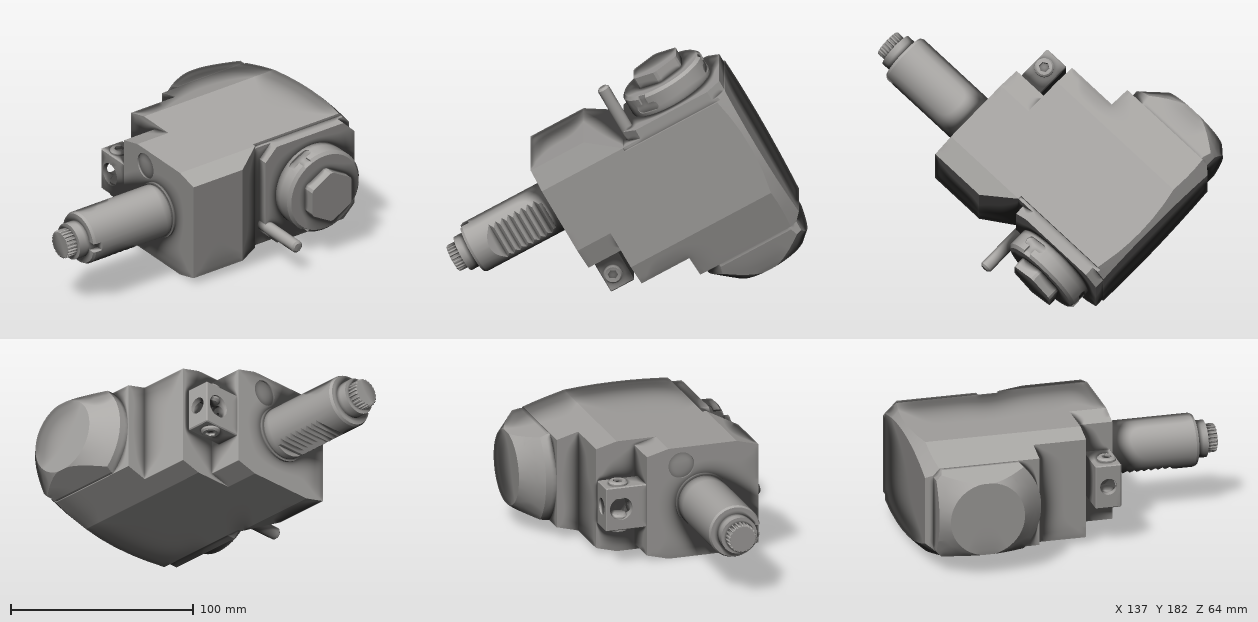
import cadquery as cq
import math


half_height = 32.0
back_y = 115.0
foot_y = 21.0
shoulder_y = 51.0
foot_half_width = 32.4
foot_flat_half_width = 19.8
left_flat_x = -42.5
waist_left_x = -54.6
head_left_x = -67.0
head_right_x = 19.5
head_step_x = 17.7
head_step_depth = 1.8
taper = math.tan(math.radians(15))
slant_start_y = 33.3
back_arc_radius = 132.9
back_arc_x = -12.4
back_arc_crest_z = 29.5
back_left_chamfer = 3.6
dowel_x, dowel_z, dowel_radius, dowel_depth = -12.4, 21.7, 7.5, 1.1

spindle_y = 85.0

cap_left_x = -84.5
cap_rim_x = -73.0
cap_land_x = -68.6
cap_radius = 33.5
cap_face_radius = 21.1
cap_back_y = 111.2
cap_land_half_height = 25.1

plate_right_x = 25.1
plate_half_width = half_height - head_step_depth
plate_corner = 7.6
plate_y = 84.5
flange_right_x = 38.0
flange_radius = 24.4
flange_chamfer = 1.6
flange_neck_radius, flange_neck_length = 23.3, 0.7
slot_x, slot_width, slot_length, slot_depth = 30.2, 5.1, 14.7, 1.5
slot_neck_width = 5.0
slot_count = 3
first_slot_angle = -28
nut_right_x = 44.8
nut_across_flats = 26.8
nut_corner_radius = 15.0
pin_right_x = 52.5
pin_y, pin_z, pin_radius, pin_chamfer = 56.5, -19.0, 3.5, 1.1

collar_radius, collar_length = 15.8, 1.3
relief_radius, relief_length = 14.5, 1.0
shank_radius, shank_end_y = 15.0, -54.6
shank_chamfer_length, shank_chamfer_depth = 1.55, 0.7
journal_radius, journal_end_y = 10.4, -61.0
spline_radius, spline_root_radius, spline_end_y = 8.0, 7.1, -67.0
spline_teeth = 22
spline_tip_share, spline_base_share = 0.3, 0.6
spline_chamfer = 0.5
key_width, key_depth = 5.1, 5.5
rack_start_y, rack_end_y = -6.2, -43.9
rack_wall_lean = 0.5
rack_crest_z, rack_root_z = -12.4, -10.4
rack_pitch, rack_teeth, rack_first_root_y = 4.0, 8, -10.5

block_left_x = -55.7
block_front_y, block_back_y = 1.1, 15.8
block_half_height = 12.5
block_chamfer = 0.5
front_bore_x, front_bore_radius, front_bore_depth = -47.0, 6.5, 12.4
side_bore_radius = 4.7
passage_radius = 1.3
bore_y, bore_z = 8.5, 0
screw_x, screw_y = -46.8, 7.3
screw_radius, screw_top_z, screw_tip_z = 5.3, 14.5, 4.2
screw_head_chamfer, screw_tip_chamfer = 1.0, 1.3
screw_socket_across_corners, screw_socket_depth = 5.8, 4.5


def box(x0, x1, y0, y1, z0, z1):
    return cq.Workplane("XY").box(x1 - x0, y1 - y0, z1 - z0, centered=False).translate((x0, y0, z0))


def rod_x(x0, x1, radius, y, z):
    return cq.Workplane("YZ", origin=(x0, y, z)).circle(radius).extrude(x1 - x0)


def rod_y(y0, y1, radius, x, z):
    return cq.Workplane("XZ", origin=(x, y0, z)).circle(radius).extrude(y0 - y1)


def housing_section(y0, y1, left, left_flat, right_flat, right_points):
    """Prism along Y, flat on top and bottom, that slopes down to the left and ends in right_points."""
    left_z = half_height - (left_flat - left) * taper
    upper = [(left, left_z), (left_flat, half_height), (right_flat, half_height)] + right_points
    lower = [(x, -z) for x, z in reversed(upper)]
    return cq.Workplane("XZ", origin=(0, y0, 0)).polyline(upper + lower).close().extrude(y0 - y1)


def back_cone(side):
    """45 degree cone about a Y axis; its rim is the wide arc along one edge of the back face."""
    length = back_y - shoulder_y
    center = cq.Vector(back_arc_x, shoulder_y, side * (back_arc_crest_z - back_arc_radius))
    cone = cq.Solid.makeCone(back_arc_radius + length, back_arc_radius, length, center, cq.Vector(0, 1, 0))
    return cq.Workplane(cone)


def make_housing():
    step_z = half_height - head_step_depth
    head = housing_section(shoulder_y, back_y, head_left_x, left_flat_x, head_step_x,
                           [(head_step_x, step_z), (head_right_x, step_z)])
    head = head.faces(">Y").edges("<X").chamfer(back_left_chamfer)
    for side in (1, -1):
        head = head.intersect(back_cone(side))

    foot_slope_end = (foot_half_width, half_height - (foot_half_width - foot_flat_half_width) * taper)
    waist = housing_section(foot_y, shoulder_y, waist_left_x, left_flat_x,
                            foot_flat_half_width, [foot_slope_end])
    slant = (
        cq.Workplane("XY")
        .polyline([(foot_flat_half_width, shoulder_y), (foot_half_width, shoulder_y),
                   (foot_half_width, slant_start_y)])
        .close()
        .extrude(half_height, both=True)
    )
    foot = housing_section(0, foot_y, -foot_half_width, -foot_flat_half_width,
                           foot_flat_half_width, [foot_slope_end])
    dowel_recess = rod_y(0, dowel_depth, dowel_radius, dowel_x, dowel_z)
    return head.union(waist.cut(slant)).union(foot).cut(dowel_recess)


def make_cap():
    profile = [(cap_left_x, 0), (cap_left_x, cap_face_radius), (cap_rim_x, cap_radius),
               (head_left_x, cap_radius), (head_left_x, 0)]
    cap = (
        cq.Workplane("XY")
        .polyline(profile)
        .close()
        .revolve(360, (0, 0, 0), (1, 0, 0))
        .translate((0, spindle_y, 0))
    )
    left_z = cap_land_half_height - (cap_land_x - cap_left_x) * taper
    upper = [(cap_left_x, left_z), (cap_land_x, cap_land_half_height), (head_left_x, cap_land_half_height)]
    lower = [(x, -z) for x, z in reversed(upper)]
    envelope = (
        cq.Workplane("XZ", origin=(0, cap_back_y, 0))
        .polyline(upper + lower)
        .close()
        .extrude(cap_back_y - spindle_y + cap_radius)
    )
    return cap.intersect(envelope)


def flange_slot(angle):
    """Round-ended pocket in the flange rim with a neck open to the outer flange face."""
    floor = flange_radius - slot_depth
    pocket = (
        cq.Workplane("XY", origin=(slot_x, 0, floor))
        .slot2D(slot_length, slot_width, 90)
        .extrude(2 * slot_depth)
    )
    neck = box(slot_x, flange_right_x, -slot_neck_width / 2, slot_neck_width / 2,
               floor, floor + 2 * slot_depth)
    return (
        pocket.union(neck)
        .rotate((0, 0, 0), (1, 0, 0), -angle)
        .translate((0, spindle_y, 0))
    )


def make_spindle_end():
    plate = (
        cq.Workplane("YZ", origin=(head_right_x, plate_y, 0))
        .rect(2 * plate_half_width, 2 * plate_half_width)
        .extrude(plate_right_x - head_right_x)
        .edges("|X")
        .chamfer(plate_corner)
    )
    flange_left_x = plate_right_x + flange_neck_length
    neck = rod_x(plate_right_x, flange_left_x, flange_neck_radius, spindle_y, 0)
    flange = rod_x(flange_left_x, flange_right_x, flange_radius, spindle_y, 0)
    flange = flange.faces(">X").chamfer(flange_chamfer)
    for i in range(slot_count):
        flange = flange.cut(flange_slot(first_slot_angle + i * 360 / slot_count))

    nut = (
        cq.Workplane("YZ", origin=(flange_right_x, spindle_y, 0))
        .polygon(6, nut_across_flats / math.cos(math.pi / 6))
        .extrude(nut_right_x - flange_right_x)
        .rotate((0, spindle_y, 0), (1, spindle_y, 0), 90)
        .intersect(rod_x(flange_right_x, nut_right_x, nut_corner_radius, spindle_y, 0))
    )
    pin = rod_x(head_right_x, pin_right_x, pin_radius, pin_y, pin_z).faces(">X").chamfer(pin_chamfer)
    return plate.union(neck).union(flange).union(nut).union(pin)


def rack_cut():
    """Gap below the shank: a steep wall, a row of 45 degree teeth and a sloping run-out."""
    below_z = -2 * shank_radius
    half_pitch = rack_pitch / 2
    points = [(rack_start_y, below_z), (rack_start_y, -shank_radius),
              (rack_start_y - rack_wall_lean, rack_crest_z),
              (rack_first_root_y + half_pitch, rack_crest_z)]
    for i in range(rack_teeth):
        root_y = rack_first_root_y - i * rack_pitch
        points += [(root_y, rack_root_z), (root_y - half_pitch, rack_crest_z)]
    points += [(rack_end_y, -shank_radius), (rack_end_y, below_z)]
    return cq.Workplane("YZ").polyline(points).close().extrude(shank_radius, both=True)


def make_spline():
    """Toothed stub; each tooth's tip and base take up a share of the tooth spacing."""
    points = []
    step = 2 * math.pi / spline_teeth
    for i in range(spline_teeth):
        middle = math.pi / 2 + i * step
        for share, radius in ((-spline_base_share, spline_root_radius), (-spline_tip_share, spline_radius),
                              (spline_tip_share, spline_radius), (spline_base_share, spline_root_radius)):
            angle = middle + share * step / 2
            points.append((radius * math.cos(angle), radius * math.sin(angle)))
    spline = (
        cq.Workplane("XZ", origin=(0, journal_end_y, 0))
        .polyline(points)
        .close()
        .extrude(journal_end_y - spline_end_y)
    )
    blank = rod_y(spline_end_y, journal_end_y, spline_radius, 0, 0).faces("<Y").chamfer(spline_chamfer)
    return spline.intersect(blank)


def make_shank():
    shank_start_y = -collar_length - relief_length
    shank = rod_y(shank_end_y, shank_start_y, shank_radius, 0, 0)
    shank = shank.faces("<Y").chamfer(shank_chamfer_length, shank_chamfer_depth)
    key_slot = box(journal_radius, shank_radius, shank_end_y, shank_end_y + key_depth,
                   -key_width / 2, key_width / 2)
    collar = rod_y(-collar_length, 0, collar_radius, 0, 0)
    relief = rod_y(shank_start_y, 0, relief_radius, 0, 0)
    journal = rod_y(journal_end_y, shank_end_y, journal_radius, 0, 0)
    shank = shank.cut(rack_cut()).cut(key_slot)
    return shank.union(relief).union(collar).union(journal).union(make_spline())


def make_screw():
    return (
        cq.Workplane("XY", origin=(screw_x, screw_y, screw_tip_z))
        .circle(screw_radius)
        .extrude(screw_top_z - screw_tip_z)
        .faces("<Z")
        .chamfer(screw_tip_chamfer)
        .faces(">Z")
        .chamfer(screw_head_chamfer)
        .faces(">Z")
        .workplane()
        .polygon(6, screw_socket_across_corners)
        .cutBlind(-screw_socket_depth)
    )


def make_coolant_block():
    block = box(block_left_x, -foot_half_width, block_front_y, block_back_y,
                -block_half_height, block_half_height)
    block = block.edges("<X or |X").chamfer(block_chamfer)
    front_bore = rod_y(block_front_y, block_front_y + front_bore_depth, front_bore_radius,
                       front_bore_x, bore_z)
    side_bore = rod_x(block_left_x, front_bore_x + front_bore_radius, side_bore_radius, bore_y, bore_z)
    passage = rod_x(front_bore_x, -foot_half_width, passage_radius, bore_y, bore_z)
    block = block.cut(front_bore).cut(side_bore).cut(passage)
    screw = make_screw()
    return block.union(screw).union(screw.mirror("XY"))


result = (
    make_housing()
    .union(make_cap())
    .union(make_spindle_end())
    .union(make_shank())
    .union(make_coolant_block())
)